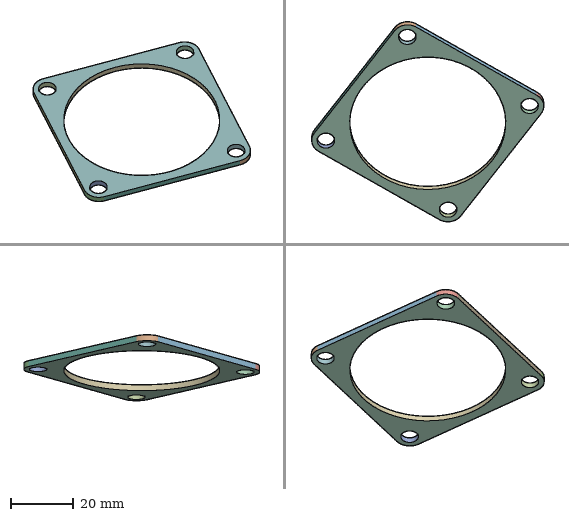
import cadquery as cq

side = 56.5
thickness = 2.0
corner_radius = 5.0
bore_diameter = 50.0
hole_diameter = 5.6
hole_spacing = 47.1

plate = cq.Workplane("XY").box(side, side, thickness).edges("|Z").fillet(corner_radius)

plate = plate.faces(">Z").workplane().hole(bore_diameter)

result = (
    plate.faces(">Z")
    .workplane(origin=(0, 0, 0))
    .rect(hole_spacing, hole_spacing, forConstruction=True)
    .vertices()
    .hole(hole_diameter)
)